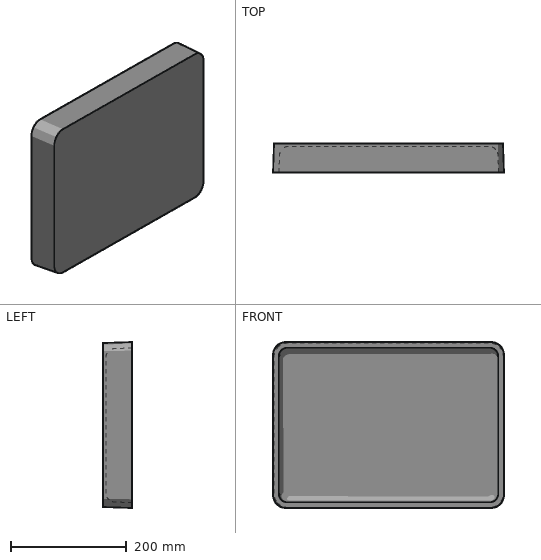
import cadquery as cq

LENGTH = 399.3
HEIGHT = 287.0
DEPTH = 50.7
WALL = 10.0
FLOOR = 4.8
OUTER_RADIUS = 23.0
INNER_RADIUS = 15.5
DRAFT_ANGLE = 2.0

RIM_Y = -DEPTH / 2


def drafted_block(length, height, depth):
    """Block that has its full size at the rim plane and narrows towards +Y."""
    rim_plane = cq.Workplane("XZ", origin=(0, RIM_Y, 0))
    return rim_plane.rect(length, height).extrude(-depth, taper=DRAFT_ANGLE)


def outer_form():
    """Drafted block with its four corner edges rounded."""
    block = drafted_block(LENGTH, HEIGHT, DEPTH)
    return block.edges("not(<Y or >Y)").fillet(OUTER_RADIUS)


def cavity():
    """Drafted pocket with every edge rounded except those in the rim plane."""
    block = drafted_block(LENGTH - 2 * WALL, HEIGHT - 2 * WALL, DEPTH - FLOOR)
    return block.edges("not <Y").fillet(INNER_RADIUS)


tray = outer_form().cut(cavity())

result = cq.Compound.makeCompound([tray.val()])